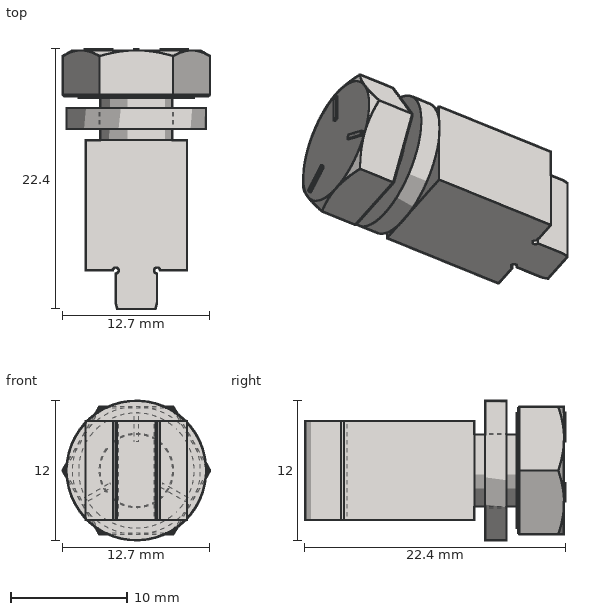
import cadquery as cq
import math


BLOCK_WIDTH = 8.7
BLOCK_HEIGHT = 8.53
BLOCK_LENGTH = 11.2
TONGUE_WIDTH = 3.55
TONGUE_LENGTH = 3.32
TIP_BEVEL_LENGTH = 0.5
TIP_BEVEL_DEPTH = 0.13
RELIEF_DIAMETER = 0.5

WASHER_DIAMETER = 12.0
WASHER_BORE = 6.4
WASHER_THICKNESS = 1.83
WASHER_OFFSET = 0.94

SHANK_DIAMETER = 6.22
SHANK_LENGTH = 3.62
BEARING_DIAMETER = 9.91
BEARING_HEIGHT = 0.13
HEAD_CORNER_DIAMETER = 12.67
HEAD_HEIGHT = 3.95
HEAD_BASE_BEVEL = 0.14
CROWN_ANGLE = 30.0

MARK_ANGLES = (90, 210, 330)
MARK_INNER_RADIUS = 2.5
MARK_OUTER_RADIUS = 5.0
MARK_WIDTH = 0.4
MARK_HEIGHT = 0.13


def plane_at(y):
    """Plane facing +Y at the given Y, with local y along Z and local x along -X."""
    return cq.Workplane(cq.Plane(origin=(0, y, 0), xDir=(-1, 0, 0), normal=(0, 1, 0)))


def make_block():
    half_block = BLOCK_WIDTH / 2
    half_tongue = TONGUE_WIDTH / 2
    half_tip = half_tongue - TIP_BEVEL_DEPTH
    tip_y = -BLOCK_LENGTH - TONGUE_LENGTH
    half_profile = [
        (0, 0),
        (half_block, 0),
        (half_block, -BLOCK_LENGTH),
        (half_tongue, -BLOCK_LENGTH),
        (half_tongue, tip_y + TIP_BEVEL_LENGTH),
        (half_tip, tip_y),
        (0, tip_y),
    ]
    half = cq.Workplane("XY").polyline(half_profile).close().extrude(BLOCK_HEIGHT / 2, both=True)
    body = half.union(half.mirror("YZ"))
    reliefs = (
        cq.Workplane("XY")
        .pushPoints([(side * half_tongue, -BLOCK_LENGTH) for side in (-1, 1)])
        .circle(RELIEF_DIAMETER / 2)
        .extrude(BLOCK_HEIGHT, both=True)
    )
    return body.cut(reliefs).clean()


def make_washer():
    return (
        plane_at(WASHER_OFFSET)
        .circle(WASHER_DIAMETER / 2)
        .circle(WASHER_BORE / 2)
        .extrude(WASHER_THICKNESS)
    )


def make_crown_envelope(base_y, top_y):
    """Turned shape whose cone trims the head corners and meets the flats at the top face."""
    corner_radius = HEAD_CORNER_DIAMETER / 2
    flat_radius = corner_radius * math.cos(math.pi / 6)
    crown_drop = (corner_radius - flat_radius) * math.tan(math.radians(CROWN_ANGLE))
    section = [
        (0, base_y),
        (corner_radius, base_y),
        (corner_radius, top_y - crown_drop),
        (flat_radius, top_y),
        (0, top_y),
    ]
    return cq.Workplane("XY").polyline(section).close().revolve(360, (0, 0), (0, 1))


def make_grade_mark(angle, base_y):
    return (
        plane_at(base_y)
        .transformed(rotate=(0, 0, angle))
        .center((MARK_INNER_RADIUS + MARK_OUTER_RADIUS) / 2, 0)
        .rect(MARK_OUTER_RADIUS - MARK_INNER_RADIUS, MARK_WIDTH)
        .extrude(MARK_HEIGHT)
    )


def make_bolt():
    head_base = SHANK_LENGTH + BEARING_HEIGHT
    head_top = head_base + HEAD_HEIGHT
    head = (
        plane_at(head_base)
        .polygon(6, HEAD_CORNER_DIAMETER)
        .extrude(HEAD_HEIGHT)
        .faces("<Y")
        .chamfer(HEAD_BASE_BEVEL)
        .intersect(make_crown_envelope(head_base, head_top))
    )
    shank = plane_at(0).circle(SHANK_DIAMETER / 2).extrude(SHANK_LENGTH)
    bearing = plane_at(SHANK_LENGTH).circle(BEARING_DIAMETER / 2).extrude(BEARING_HEIGHT)
    bolt = head.union(bearing).union(shank)
    for angle in MARK_ANGLES:
        bolt = bolt.union(make_grade_mark(angle, head_top))
    return bolt


block = make_block()
washer = make_washer()
bolt = make_bolt()

result = cq.Compound.makeCompound([block.val(), washer.val(), bolt.val()])